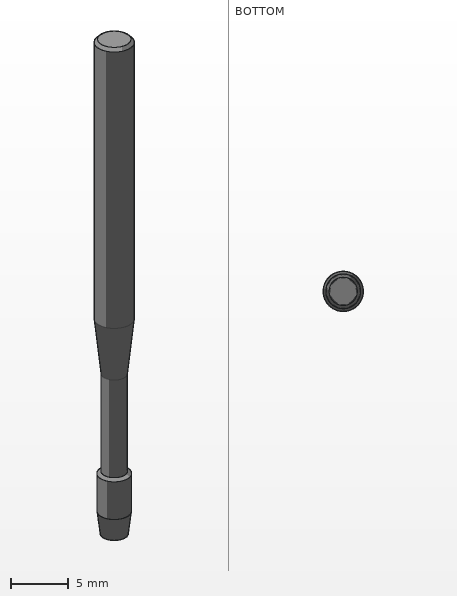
import cadquery as cq
import math

total_length = 49.2
tip_length = 2.25
collar_top = 6.0
neck_top = 15.92
taper_top = 21.4

shank_radius = 3.5 / 2
neck_radius = 2.3 / 2
collar_radius = 3.03 / 2
tip_root_radius = 3.0 / 2
tip_end_radius = 2.45 / 2

shank_chamfer = 0.3
shoulder_angle = math.radians(30)
shoulder_top = collar_top + (collar_radius - neck_radius) * math.tan(shoulder_angle)


def revolve_about_z(outline):
    """Turn a closed outline of (distance from axis, height) points about the Z axis."""
    axis_start = (0, 0, 0)
    axis_end = (0, 1, 0)
    return cq.Workplane("XZ").polyline(outline).close().revolve(360, axis_start, axis_end)


def make_shank():
    """Round shank, chamfered at the top, that tapers down to a slim neck resting on the head."""
    return revolve_about_z([
        (0, shoulder_top),
        (neck_radius, shoulder_top),
        (neck_radius, neck_top),
        (shank_radius, taper_top),
        (shank_radius, total_length - shank_chamfer),
        (shank_radius - shank_chamfer, total_length),
        (0, total_length),
    ])


def make_head():
    """Collar with a conical shoulder up to the neck and a slightly smaller, narrowing tip below."""
    return revolve_about_z([
        (0, 0),
        (tip_end_radius, 0),
        (tip_root_radius, tip_length),
        (collar_radius, tip_length),
        (collar_radius, collar_top),
        (neck_radius, shoulder_top),
        (0, shoulder_top),
    ])


shank = make_shank()
head = make_head()

result = cq.Compound.makeCompound([shank.val(), head.val()])